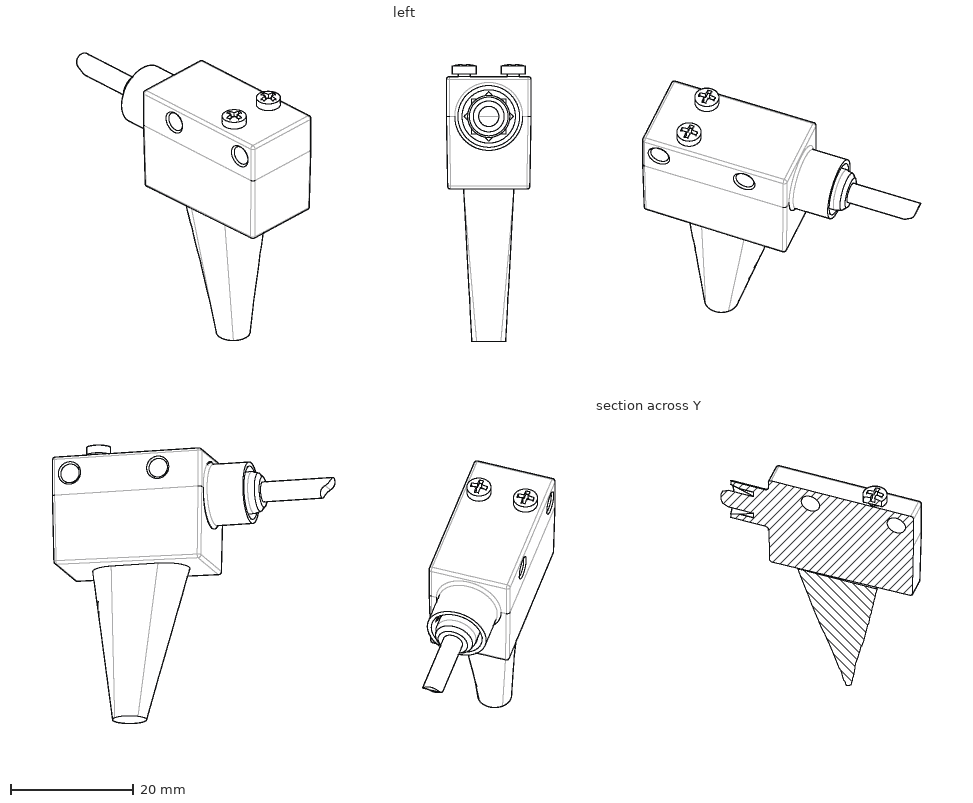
import cadquery as cq
import math

OVERALL_LENGTH = 46.0
HOUSING_WIDTH = 13.9
HOUSING_LEFT = 20.6
HOUSING_TOP = 6.55
HOUSING_BOTTOM_LEFT = -11.9
DRAFT_ANGLE = 1.0
EDGE_RADIUS = 0.5
HOUSING_LENGTH = OVERALL_LENGTH - HOUSING_LEFT

HOLE_RADIUS = 1.55
HOLE_CHAMFER = 0.3
HOLE_HEIGHT = 3.6
FIRST_HOLE_X = 27.95
HOLE_SPACING = 15.0

COLLAR_RADIUS = 5.05
COLLAR_FRONT = 14.02
COLLAR_FILLET = 0.5
BORE_MOUTH_RADIUS = 4.35
BORE_DEPTH = 4.0
STAR_RADIUS = 4.05

GROMMET_FRONT = 11.95
GROMMET_RADIUS = 3.45
GROMMET_FRONT_RADIUS = 2.55
GROMMET_CHAMFER = 0.65
GROMMET_TAPER_END = 13.65

CABLE_RADIUS = 1.65
CABLE_BREAK_LENGTH = 2.0

SCREW_X = 38.8
SCREW_Y = 4.0
SCREW_NECK_RADIUS = 1.0
SCREW_HEAD_RADIUS = 2.0
SCREW_HEAD_BOTTOM = 6.95
SCREW_HEAD_SHOULDER = 8.25
SCREW_TOP = 8.55
CROSS_LENGTH = 2.7
CROSS_WIDTH = 0.7
CROSS_DEPTH = 0.9

NOZZLE_BOTTOM = -36.88
NOZZLE_TOP_RADIUS = 4.15
NOZZLE_TOP_LEFT_CENTER = 28.7
NOZZLE_TOP_RIGHT_CENTER = 36.65
NOZZLE_TIP_RADIUS = 2.8
NOZZLE_TIP_X = 34.65


def housing_bottom_at(x):
    """Height of the sloping housing bottom at a given X."""
    return HOUSING_BOTTOM_LEFT + (x - HOUSING_LEFT) * math.tan(math.radians(DRAFT_ANGLE))


def drafted_block():
    """Block with straight sides above the parting plane and drafted sides and bottom below it."""
    outline = cq.Sketch().rect(HOUSING_LENGTH, HOUSING_WIDTH)
    plan = cq.Workplane("XY").center(HOUSING_LEFT + HOUSING_LENGTH / 2, 0).placeSketch(outline)
    upper = plan.extrude(HOUSING_TOP)
    lower = plan.extrude(HOUSING_BOTTOM_LEFT, taper=DRAFT_ANGLE)
    below_slope = (
        cq.Workplane("XZ")
        .moveTo(HOUSING_LEFT, HOUSING_BOTTOM_LEFT)
        .lineTo(OVERALL_LENGTH, housing_bottom_at(OVERALL_LENGTH))
        .lineTo(OVERALL_LENGTH, HOUSING_BOTTOM_LEFT)
        .close()
        .extrude(HOUSING_WIDTH, both=True)
    )
    lower = lower.cut(below_slope)
    upper = upper.edges("not <Z").fillet(EDGE_RADIUS)
    lower = lower.edges("not >Z").fillet(EDGE_RADIUS)
    return upper.union(lower)


def mounting_hole(x):
    """Through hole along Y with a chamfer at each end."""
    half_width = HOUSING_WIDTH / 2
    rim_radius = HOLE_RADIUS + HOLE_CHAMFER
    half_profile = (
        cq.Workplane("XY")
        .polyline([
            (0, 0),
            (HOLE_RADIUS, 0),
            (HOLE_RADIUS, half_width - HOLE_CHAMFER),
            (rim_radius, half_width),
            (0, half_width),
        ])
        .close()
    )
    half_hole = half_profile.revolve(360, (0, 0), (0, 1))
    hole = half_hole.union(half_hole.mirror("XZ"))
    return hole.translate((x, 0, HOLE_HEIGHT))


def collar():
    """Collar with a fillet into the housing end and a tapering bore that narrows to the grommet."""
    fillet_start = HOUSING_LEFT - COLLAR_FILLET
    fillet_middle = COLLAR_FILLET * math.sqrt(0.5)
    root_radius = COLLAR_RADIUS + COLLAR_FILLET
    buried_x = HOUSING_LEFT + EDGE_RADIUS
    return (
        cq.Workplane("XY")
        .moveTo(COLLAR_FRONT, BORE_MOUTH_RADIUS)
        .lineTo(COLLAR_FRONT, COLLAR_RADIUS)
        .lineTo(fillet_start, COLLAR_RADIUS)
        .threePointArc(
            (fillet_start + fillet_middle, root_radius - fillet_middle),
            (HOUSING_LEFT, root_radius),
        )
        .lineTo(buried_x, root_radius)
        .lineTo(buried_x, 0)
        .lineTo(COLLAR_FRONT + BORE_DEPTH, 0)
        .lineTo(COLLAR_FRONT + BORE_DEPTH, GROMMET_RADIUS)
        .close()
        .revolve(360, (0, 0), (1, 0))
    )


def star_recess():
    """Eight-pointed star cut: two square prisms turned 45 degrees apart."""
    side = STAR_RADIUS * math.sqrt(2)
    square = (
        cq.Workplane("YZ", origin=(COLLAR_FRONT, 0, 0))
        .rect(side, side)
        .extrude(BORE_DEPTH)
    )
    return square.union(square.rotate((0, 0, 0), (1, 0, 0), 45))


def grommet():
    """Round grommet from the bore floor to its chamfered nose."""
    shoulder_radius = GROMMET_FRONT_RADIUS + GROMMET_CHAMFER
    return (
        cq.Workplane("XY")
        .polyline([
            (GROMMET_FRONT, 0),
            (GROMMET_FRONT, GROMMET_FRONT_RADIUS),
            (GROMMET_FRONT + GROMMET_CHAMFER, shoulder_radius),
            (GROMMET_TAPER_END, GROMMET_RADIUS),
            (COLLAR_FRONT + BORE_DEPTH, GROMMET_RADIUS),
            (COLLAR_FRONT + BORE_DEPTH, 0),
        ])
        .close()
        .revolve(360, (0, 0), (1, 0))
    )


def cable():
    """Round cable whose free end is an S-shaped break made of two equal tangent arcs."""
    half_break = CABLE_BREAK_LENGTH / 2
    break_radius = (half_break**2 + CABLE_RADIUS**2) / (2 * half_break)
    half_angle = math.asin(CABLE_RADIUS / break_radius) / 2
    arc_x = break_radius * (1 - math.cos(half_angle))
    arc_drop = break_radius * math.sin(half_angle)
    side_profile = (
        cq.Workplane("XZ")
        .moveTo(0, CABLE_RADIUS)
        .threePointArc((arc_x, CABLE_RADIUS - arc_drop), (half_break, 0))
        .threePointArc(
            (CABLE_BREAK_LENGTH - arc_x, arc_drop - CABLE_RADIUS),
            (CABLE_BREAK_LENGTH, -CABLE_RADIUS),
        )
        .lineTo(GROMMET_FRONT, -CABLE_RADIUS)
        .lineTo(GROMMET_FRONT, CABLE_RADIUS)
        .close()
        .extrude(CABLE_RADIUS, both=True)
    )
    return cq.Workplane("YZ").circle(CABLE_RADIUS).extrude(GROMMET_FRONT).intersect(side_profile)


def screw(y):
    """Screw with a short neck and a domed head that has a cross recess."""
    dome_height = SCREW_TOP - SCREW_HEAD_SHOULDER
    dome_radius = (SCREW_HEAD_RADIUS**2 + dome_height**2) / (2 * dome_height)
    dome_mid_x = SCREW_HEAD_RADIUS / 2
    dome_mid_z = SCREW_TOP - dome_radius + math.sqrt(dome_radius**2 - dome_mid_x**2)
    body = (
        cq.Workplane("XZ")
        .moveTo(0, HOUSING_TOP)
        .lineTo(SCREW_NECK_RADIUS, HOUSING_TOP)
        .lineTo(SCREW_NECK_RADIUS, SCREW_HEAD_BOTTOM)
        .lineTo(SCREW_HEAD_RADIUS, SCREW_HEAD_BOTTOM)
        .lineTo(SCREW_HEAD_RADIUS, SCREW_HEAD_SHOULDER)
        .threePointArc((dome_mid_x, dome_mid_z), (0, SCREW_TOP))
        .close()
        .revolve(360, (0, 0), (0, 1))
    )
    cross = (
        cq.Workplane("XY", origin=(0, 0, SCREW_TOP))
        .rect(CROSS_LENGTH, CROSS_WIDTH)
        .extrude(-CROSS_DEPTH)
        .union(
            cq.Workplane("XY", origin=(0, 0, SCREW_TOP))
            .rect(CROSS_WIDTH, CROSS_LENGTH)
            .extrude(-CROSS_DEPTH)
        )
    )
    return body.cut(cross).translate((SCREW_X, y, 0))


def make_housing():
    """Housing in one piece with its cable entry, cable and screws."""
    housing = drafted_block()
    for hole_x in (FIRST_HOLE_X, FIRST_HOLE_X + HOLE_SPACING):
        housing = housing.cut(mounting_hole(hole_x))
    for feature in (collar().cut(star_recess()), grommet(), cable()):
        housing = housing.union(feature)
    for screw_y in (-SCREW_Y, SCREW_Y):
        housing = housing.union(screw(screw_y))
    return housing


def nozzle_top_wire(height):
    """Slot outline: two half circles joined by straight sides."""
    left = NOZZLE_TOP_LEFT_CENTER
    right = NOZZLE_TOP_RIGHT_CENTER
    radius = NOZZLE_TOP_RADIUS
    return (
        cq.Workplane("XY", origin=(0, 0, height))
        .moveTo(left, -radius)
        .lineTo(right, -radius)
        .threePointArc((right + radius, 0), (right, radius))
        .lineTo(left, radius)
        .threePointArc((left - radius, 0), (left, -radius))
        .wire()
        .val()
    )


def nozzle_tip_wire():
    """Circle in four quarter arcs, one for each piece of the top outline."""
    radius = NOZZLE_TIP_RADIUS
    corner = radius * math.sqrt(0.5)
    center = NOZZLE_TIP_X
    return (
        cq.Workplane("XY", origin=(0, 0, NOZZLE_BOTTOM))
        .moveTo(center - corner, -corner)
        .threePointArc((center, -radius), (center + corner, -corner))
        .threePointArc((center + radius, 0), (center + corner, corner))
        .threePointArc((center, radius), (center - corner, corner))
        .threePointArc((center - radius, 0), (center - corner, -corner))
        .wire()
        .val()
    )


def make_nozzle():
    """Nozzle that blends from a slot to a circle; its flat top touches the sloping housing bottom."""
    top_height = housing_bottom_at(NOZZLE_TOP_LEFT_CENTER - NOZZLE_TOP_RADIUS)
    return cq.Solid.makeLoft([nozzle_top_wire(top_height), nozzle_tip_wire()], True)


housing = make_housing()
nozzle = make_nozzle()
result = cq.Compound.makeCompound([housing.val(), nozzle])